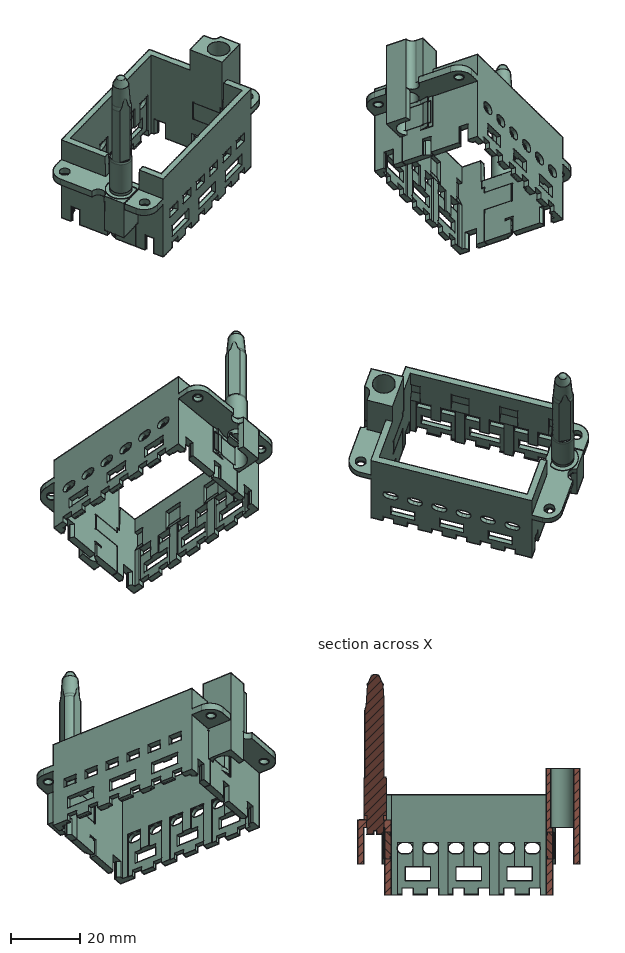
import cadquery as cq
import math

half_width = 17.2
wall_inner_x = 15.35
wall_outer_y = 24.25
wall_inner_y = 22.3
wall_top = 28.9

flange_end_y = 32.0
flange_bottom = 19.45
flange_top = 21.6
flange_corner_radius = 4.5
screw_hole_x = 13.5
screw_hole_y = 28.4
screw_hole_radius = 1.55
screw_lip_radius = 1.35
screw_lip_height = 0.25
notch_radius = 2.05

joint_step_z = 19.0
joint_step_gap = 0.1
joint_left_low = 7.8
joint_right_low = 8.0
joint_right_flange = 8.9
joint_right_foot = 8.95
joint_right_top = 9.15
front_gap_foot = -2.25
front_gap_top = -2.4

box_left = -2.3
box_right = 8.65
box_bottom = 8.9
tower_top = 36.5
tower_left_end_y = flange_end_y - notch_radius
guide_x = 4.55
guide_y = 26.95
guide_hole_radius = 3.25
jaw_left_inner = 1.8
jaw_left_outer = 2.2
channel_outer_y = guide_y + guide_hole_radius

strip_right = -0.9
strip_face_y = 24.45
wedge_face_y = 24.95
wedge_tip_x = 1.85

tongue_pad_tip = -1.0
tongue_plate_inner_y = 22.8
tongue_plate_outer_y = 24.2
window_bottom = 11.2
window_top = 17.3
window_left = -1.5
groove_left = -1.65
groove_bottom = 10.5
groove_top = 18.05
groove_face_y = 24.5

end_slot_height = 5.6
side_slot_near_x = 11.0
side_slot_far_x = 14.0
side_slot_step = 0.3
side_slot_step_depth = 0.7
side_slot_flare = 0.8
middle_slot_left = -1.65
middle_slot_right = 1.1
plug_left = -0.95
plug_ramp_end_x = 0.45
plug_shoulder_y = 23.1
plug_face_y = 23.9
plug_height = 5.0

contact_row_length = 36.7
contact_count = 6
contact_pitch = contact_row_length / (contact_count - 1)
oval_length = 4.5
oval_height = 3.2
oval_z = 13.5
left_window_length = 7.2
right_window_length = 9.1
side_window_bottom = 4.15
side_window_height = 4.0
edge_notch_length = 3.2
edge_notch_height = 2.0
edge_notch_shift = 0.7
contact_opening_length = 4.3
contact_opening_bottom = 12.1
contact_groove_depth = 0.5
window_recess_lip_depth = 0.25
window_recess_lip_height = 0.3
ramp_pocket_length = 5.45
ramp_pocket_bottom = 15.35
ramp_pocket_ramp_top = 18.2
ramp_pocket_top = 23.2
ramp_pocket_depth = 1.15

pin_tip_z = 63.6
pin_nose_z = 63.05
pin_nose_radius = 1.2
pin_taper_top_z = 60.8
pin_taper_top_radius = 2.3
pin_taper_foot_z = 54.3
pin_taper_foot_radius = 2.75
pin_shank_top_z = 53.05
pin_shank_radius = 3.1
pin_shank_bottom_z = 34.05
pin_base_top_z = 33.4
pin_base_radius = 3.25
pin_base_bottom_z = 22.8
pin_flat_distance = 2.55
stud_radius = 2.5
stud_bottom_z = 17.5
driver_slot_width = 0.8
driver_slot_depth = 1.0
bush_disc_radius = 4.5
bush_disc_top_z = 21.8


def box(x0, x1, y0, y1, z0, z1):
    """Box between two corners."""
    return cq.Workplane("XY").box(x1 - x0, y1 - y0, z1 - z0, centered=False).translate((x0, y0, z0))


def prism(points, z0, z1):
    """Vertical prism over a plan outline."""
    return cq.Workplane("XY").workplane(offset=z0).polyline(points).close().extrude(z1 - z0)


def cylinder(x, y, radius, z0, z1):
    return cq.Workplane("XY").workplane(offset=z0).center(x, y).circle(radius).extrude(z1 - z0)


def front_and_rear(feature):
    """A feature at the rear end together with its mirror image at the front end."""
    return feature.add(feature.mirror("XZ")).combine()


def contact_positions():
    middle = (contact_count - 1) / 2
    return [(index - middle) * contact_pitch for index in range(contact_count)]



def flange_outline():
    """Full-width flanges at both ends, with edge notches and screw holes."""
    flange = (
        box(-half_width, half_width, -flange_end_y, flange_end_y, flange_bottom, flange_top)
        .edges("|Z").fillet(flange_corner_radius)
        .cut(box(-half_width, half_width, -wall_inner_y, wall_inner_y, flange_bottom, flange_top))
    )
    for side_y in (-1, 1):
        flange = flange.cut(cylinder(0, side_y * flange_end_y, notch_radius, flange_bottom, flange_top))
        for side_x in (-1, 1):
            x = side_x * screw_hole_x
            y = side_y * screw_hole_y
            flange = flange.cut(cylinder(x, y, screw_lip_radius, flange_bottom, flange_top))
            lip_top = flange_bottom + screw_lip_height
            flange = flange.cut(cylinder(x, y, screw_hole_radius, lip_top, flange_top))
    return flange


def end_side_slot(side):
    """Slots near one corner of both end walls, stepped outside and flared toward the inside."""
    near_x = side * side_slot_near_x
    far_x = side * side_slot_far_x
    left = min(near_x, far_x)
    right = max(near_x, far_x)
    step_y = wall_outer_y - side_slot_step_depth
    outer = box(left, right, step_y, wall_outer_y, 0, end_slot_height)
    throat_left = left + side_slot_step
    throat_right = right - side_slot_step
    inner = prism([
        (throat_left, step_y),
        (throat_right, step_y),
        (throat_right + side_slot_flare, wall_inner_y),
        (throat_left - side_slot_flare, wall_inner_y),
    ], 0, end_slot_height)
    return front_and_rear(outer.union(inner))


def side_wall_windows(x0, x1, window_length):
    """Rectangular windows and lower edge notches of one side wall."""
    cuts = cq.Workplane("XY")
    for index in (-1, 0, 1):
        y = index * 2 * contact_pitch
        half = window_length / 2
        top = side_window_bottom + side_window_height
        cuts = cuts.add(box(x0, x1, y - half, y + half, side_window_bottom, top))
    for contact_y in contact_positions():
        y = contact_y + edge_notch_shift
        half = edge_notch_length / 2
        cuts = cuts.add(box(x0, x1, y - half, y + half, 0, edge_notch_height))
    return cuts.combine()


def contact_grooves():
    """Shallow grooves up the inner face of a side wall at +X, joined in pairs up to the window tops."""
    groove_x = wall_inner_x + contact_groove_depth
    top = oval_z + oval_height / 2
    cuts = cq.Workplane("XY")
    for y in contact_positions():
        half = oval_length / 2
        cuts = cuts.add(box(wall_inner_x, groove_x, y - half, y + half, edge_notch_height, top))
    recess_width = contact_pitch + oval_length
    lip_x = groove_x - window_recess_lip_depth
    for index in (-1, 0, 1):
        recess = (
            cq.Workplane("XZ", origin=(0, index * 2 * contact_pitch + recess_width / 2, 0))
            .polyline([
                (wall_inner_x, 0),
                (lip_x, 0),
                (groove_x, window_recess_lip_height),
                (groove_x, side_window_bottom + side_window_height),
                (wall_inner_x, side_window_bottom + side_window_height),
            ])
            .close().extrude(recess_width)
        )
        cuts = cuts.add(recess)
    return cuts.combine()



def left_walls():
    """Side wall and the long end walls, with a drafted edge at the front opening."""
    side = box(-half_width, -wall_inner_x, -wall_outer_y, wall_outer_y, 0, wall_top)
    low_ends = front_and_rear(
        box(-half_width, joint_left_low, wall_inner_y, wall_outer_y, 0, flange_bottom)
    )
    step_z = joint_step_z + joint_step_gap
    step_ends = front_and_rear(
        box(joint_left_low, box_right, wall_inner_y, wall_outer_y, step_z, flange_bottom)
    )
    rear_top = box(-half_width, box_left, wall_inner_y, wall_outer_y, flange_bottom, wall_top)
    front_top = (
        cq.Workplane("XZ", origin=(0, -wall_inner_y, 0))
        .polyline([
            (-half_width, flange_bottom),
            (front_gap_foot, flange_bottom),
            (front_gap_foot, flange_top),
            (front_gap_top, wall_top),
            (-half_width, wall_top),
        ])
        .close().extrude(wall_outer_y - wall_inner_y)
    )
    return side.union(low_ends).union(step_ends).union(rear_top).union(front_top)


def guide_box():
    """Jaw under each flange, open to the left through a channel around the guide axis."""
    jaw = prism([
        (jaw_left_inner, wall_outer_y),
        (jaw_left_inner, channel_outer_y),
        (jaw_left_outer, flange_end_y),
        (box_right, flange_end_y),
        (box_right, wall_outer_y),
    ], box_bottom, flange_bottom)
    channel = (
        box(box_left, guide_x, wall_outer_y, channel_outer_y, box_bottom, flange_bottom)
        .union(cylinder(guide_x, guide_y, guide_hole_radius, box_bottom, flange_bottom))
    )
    return front_and_rear(jaw.cut(channel))


def keeper():
    """Raised strip with a wedge tapering away to the right, on both end walls."""
    strip = box(box_left, strip_right, wall_outer_y, strip_face_y, box_bottom, flange_bottom)
    wedge = prism([
        (strip_right, wall_outer_y),
        (strip_right, wedge_face_y),
        (wedge_tip_x, wall_outer_y),
    ], box_bottom, flange_bottom)
    return front_and_rear(strip.union(wedge))


def tongue_window():
    """Window for the tongue pad, with a larger groove behind it for the tongue plate."""
    window = box(
        window_left, joint_left_low, wall_inner_y, tongue_plate_inner_y, window_bottom, window_top
    )
    groove = box(
        groove_left, joint_left_low, tongue_plate_inner_y, groove_face_y, groove_bottom, groove_top
    )
    return front_and_rear(window.union(groove))


def guide_tower():
    """Tower above the rear flange, notched at its outer left corner."""
    block = box(box_left, box_right, wall_inner_y, flange_end_y, flange_bottom, tower_top)
    corner = box(box_left, 0, tower_left_end_y, flange_end_y, flange_top, tower_top)
    notch = cylinder(0, flange_end_y, notch_radius, flange_bottom, tower_top)
    return block.cut(corner).cut(notch)


def middle_slot():
    return front_and_rear(
        box(middle_slot_left, middle_slot_right, wall_inner_y, wall_outer_y, 0, end_slot_height)
    )


def middle_slot_plug():
    """Low ramped block that partly fills each middle slot."""
    return front_and_rear(prism([
        (plug_left, wall_inner_y),
        (plug_left, plug_shoulder_y),
        (plug_ramp_end_x, plug_face_y),
        (middle_slot_right, plug_face_y),
        (middle_slot_right, wall_inner_y),
    ], 0, plug_height))


def oval_windows():
    """Row of oval openings in the left side wall."""
    return (
        cq.Workplane("YZ", origin=(-half_width, 0, 0))
        .pushPoints([(y, oval_z) for y in contact_positions()])
        .slot2D(oval_length, oval_height)
        .extrude(half_width - wall_inner_x)
    )


def make_left_half():
    flange = flange_outline().intersect(
        box(-half_width, box_right, -flange_end_y, flange_end_y, flange_bottom, flange_top)
    )
    half = left_walls().union(flange).union(guide_box()).union(keeper()).union(guide_tower())
    half = half.cut(tongue_window()).cut(middle_slot()).union(middle_slot_plug())
    half = half.cut(end_side_slot(-1)).cut(contact_grooves().mirror("YZ"))
    half = half.cut(oval_windows()).cut(side_wall_windows(-half_width, -wall_inner_x, left_window_length))
    half = half.cut(cylinder(guide_x, guide_y, guide_hole_radius, flange_bottom, tower_top))
    return half.cut(cylinder(guide_x, -guide_y, stud_radius, flange_bottom, flange_top))



def right_walls():
    """Side wall and the short end walls with their drafted free edges."""
    side = box(wall_inner_x, half_width, -wall_outer_y, wall_outer_y, 0, wall_top)
    end = (
        cq.Workplane("XZ", origin=(0, wall_outer_y, 0))
        .polyline([
            (joint_right_low, 0),
            (joint_right_low, joint_step_z),
            (joint_right_flange, joint_step_z),
            (joint_right_flange, flange_top),
            (joint_right_foot, flange_top),
            (joint_right_top, wall_top),
            (half_width, wall_top),
            (half_width, 0),
        ])
        .close().extrude(wall_outer_y - wall_inner_y)
    )
    return side.union(front_and_rear(end))


def tongue():
    """Plate that slides into the left half, with a pad flush with the inner wall face."""
    plate = box(
        groove_left, joint_right_low, tongue_plate_inner_y, tongue_plate_outer_y, groove_bottom, groove_top
    )
    pad = box(
        tongue_pad_tip, joint_right_low, wall_inner_y, tongue_plate_inner_y, window_bottom, window_top
    )
    return front_and_rear(plate.union(pad))


def contact_openings():
    """Row of rectangular openings in the right side wall, opposite the oval ones."""
    cuts = cq.Workplane("XY")
    half = contact_opening_length / 2
    bottom = contact_opening_bottom
    top = oval_z + oval_height / 2
    for y in contact_positions():
        cuts = cuts.add(box(wall_inner_x, half_width, y - half, y + half, bottom, top))
    return cuts.combine()


def ramp_pockets():
    """Pockets with a sloping floor in the inner side wall."""
    floor_x = wall_inner_x + ramp_pocket_depth
    pockets = cq.Workplane("XY")
    for index in (-3, -1, 1, 3):
        pocket = (
            cq.Workplane("XZ", origin=(0, index * contact_pitch + ramp_pocket_length / 2, 0))
            .polyline([
                (wall_inner_x, ramp_pocket_bottom),
                (floor_x, ramp_pocket_ramp_top),
                (floor_x, ramp_pocket_top),
                (wall_inner_x, ramp_pocket_top),
            ])
            .close().extrude(ramp_pocket_length)
        )
        pockets = pockets.add(pocket)
    inside = box(wall_inner_x, half_width, -wall_inner_y, wall_inner_y, 0, wall_top)
    return pockets.combine().intersect(inside)


def make_right_half():
    flange = flange_outline().intersect(
        box(joint_right_flange, half_width, -flange_end_y, flange_end_y, flange_bottom, flange_top)
    )
    half = right_walls().union(flange).union(tongue()).cut(end_side_slot(1))
    half = half.cut(side_wall_windows(wall_inner_x, half_width, right_window_length))
    return half.cut(contact_openings()).cut(contact_grooves()).cut(ramp_pockets())



def shank_flats():
    """Material outside three flats set 120 degrees apart around the pin shank."""
    span = 2 * pin_shank_radius
    cuts = cq.Workplane("XY")
    for angle in (0, 120, 240):
        side = box(-span, span, pin_flat_distance, span, pin_shank_bottom_z, pin_tip_z)
        cuts = cuts.add(side.rotate((0, 0, 0), (0, 0, 1), angle))
    return cuts.combine()


def make_guide_pin():
    """Turned pin with a three-flat shank and a slotted stud below."""
    nose_rise = pin_tip_z - pin_nose_z
    nose_sphere_radius = (pin_nose_radius ** 2 + nose_rise ** 2) / (2 * nose_rise)
    half_angle = math.asin(pin_nose_radius / nose_sphere_radius) / 2
    nose_middle = (
        nose_sphere_radius * math.sin(half_angle),
        pin_tip_z - nose_sphere_radius * (1 - math.cos(half_angle)),
    )
    pin = (
        cq.Workplane("XZ")
        .moveTo(0, stud_bottom_z)
        .lineTo(stud_radius, stud_bottom_z)
        .lineTo(stud_radius, pin_base_bottom_z)
        .lineTo(pin_base_radius, pin_base_bottom_z)
        .lineTo(pin_base_radius, pin_base_top_z)
        .lineTo(pin_shank_radius, pin_shank_bottom_z)
        .lineTo(pin_shank_radius, pin_shank_top_z)
        .lineTo(pin_taper_foot_radius, pin_taper_foot_z)
        .lineTo(pin_taper_top_radius, pin_taper_top_z)
        .lineTo(pin_nose_radius, pin_nose_z)
        .threePointArc(nose_middle, (0, pin_tip_z))
        .close().revolve(360, (0, 0, 0), (0, 1, 0))
    )
    half_slot = driver_slot_width / 2
    slot_top = stud_bottom_z + driver_slot_depth
    slot = box(-stud_radius, stud_radius, -half_slot, half_slot, stud_bottom_z, slot_top)
    return pin.cut(shank_flats()).cut(slot).translate((guide_x, -guide_y, 0))


def make_bush():
    """Collar on a disc that is cut straight along the front wall and the joint."""
    disc = cylinder(guide_x, -guide_y, bush_disc_radius, flange_top, bush_disc_top_z)
    seat = box(box_left, box_right, -flange_end_y, -wall_outer_y, flange_top, bush_disc_top_z)
    collar = cylinder(guide_x, -guide_y, pin_base_radius, flange_top, pin_base_bottom_z)
    bore = cylinder(guide_x, -guide_y, stud_radius, flange_top, pin_base_bottom_z)
    return disc.intersect(seat).union(collar).cut(bore)


left_half = make_left_half()
right_half = make_right_half()
guide_pin = make_guide_pin()
bush = make_bush()

result = cq.Compound.makeCompound([
    *left_half.solids().vals(),
    *right_half.solids().vals(),
    *guide_pin.solids().vals(),
    *bush.solids().vals(),
])